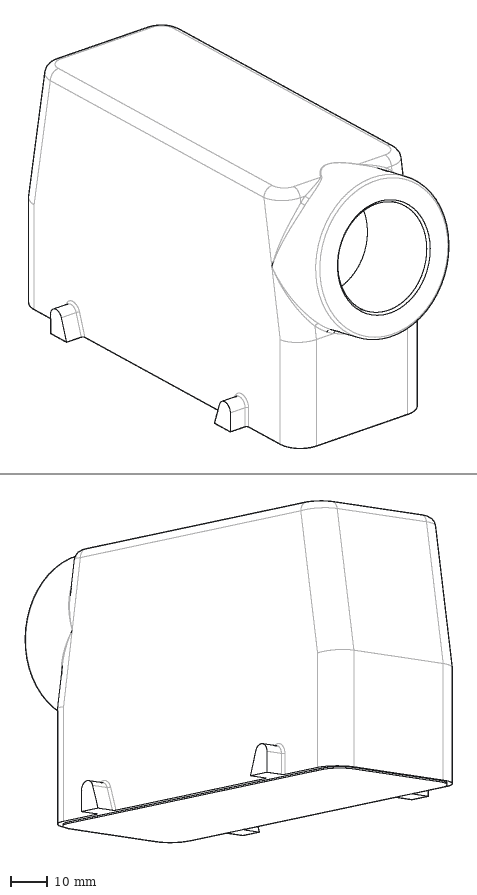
import cadquery as cq
import math

body_length = 122.8
body_width = 46.2
body_height = 76.0
shoulder_height = 33.0
lean_angle = 10.0
corner_radius = 7.1
top_radius = 2.9

rim_height = 0.4
rim_inset_x = 0.8
rim_inset_y = 1.6

entry_face_x = 71.0
entry_face_z = 56.9
entry_length = 23.2
entry_edge_radius = 0.8
entry_blend_radius = 1.0
bore_diameter = 31.0
bore_depth = 27.3
bore_chamfer = 0.7

peg_span = 58.0
peg_outer_x = 39.7
peg_height = 8.7
peg_radius = 2.5
peg_flank_angle = 19.0
peg_root_radius = 0.7


def make_body():
    lean = (body_height - shoulder_height) * math.tan(math.radians(lean_angle))
    half_length = body_length / 2
    half_top = half_length - lean
    body = (
        cq.Workplane("XZ")
        .moveTo(-half_length, rim_height)
        .lineTo(half_length, rim_height)
        .lineTo(half_length, shoulder_height)
        .lineTo(half_top, body_height)
        .lineTo(-half_top, body_height)
        .lineTo(-half_length, shoulder_height)
        .close()
        .extrude(body_width / 2, both=True)
    )
    corner_edges = body.edges().filter(lambda edge: edge.tangentAt(0.5).z ** 2 > 0.5)
    body = corner_edges.fillet(corner_radius)
    return body.faces(">Z").edges().fillet(top_radius)


def make_rim():
    return (
        cq.Workplane("XY")
        .rect(body_length - 2 * rim_inset_x, body_width - 2 * rim_inset_y)
        .extrude(rim_height)
        .edges("|Z")
        .fillet(corner_radius - rim_inset_x)
    )


def entry_plane():
    """Plane of the collar's open face, with its normal pointing out along the collar."""
    angle = math.radians(lean_angle)
    return cq.Plane(
        origin=(entry_face_x, 0, entry_face_z),
        xDir=(0, 1, 0),
        normal=(math.cos(angle), 0, math.sin(angle)),
    )


def make_collar():
    collar = cq.Workplane(entry_plane()).circle(body_width / 2).extrude(-entry_length)
    return collar.faces(">X").edges().fillet(entry_edge_radius)


def make_bore():
    bore = cq.Workplane(entry_plane()).circle(bore_diameter / 2).extrude(-bore_depth)
    mouth = (
        cq.Workplane(entry_plane())
        .circle(bore_diameter / 2 + bore_chamfer)
        .workplane(offset=-bore_chamfer)
        .circle(bore_diameter / 2)
        .loft()
    )
    return bore.union(mouth)


def make_peg_bar():
    """Bar through the body whose two ends are the pegs near the -X end."""
    angle = math.radians(peg_flank_angle)
    center_x = peg_radius - peg_outer_x
    center_z = peg_height - peg_radius
    tangent_x = center_x + peg_radius * math.cos(angle)
    tangent_z = center_z + peg_radius * math.sin(angle)
    foot_x = tangent_x + (tangent_z - rim_height) * math.tan(angle)
    return (
        cq.Workplane("XZ")
        .moveTo(-peg_outer_x, rim_height)
        .lineTo(-peg_outer_x, center_z)
        .threePointArc((center_x, peg_height), (tangent_x, tangent_z))
        .lineTo(foot_x, rim_height)
        .close()
        .extrude(peg_span / 2, both=True)
    )


def round_peg_roots(body):
    """Blend the pegs into the long side walls."""
    margin = 0.1
    for wall_y in (-body_width / 2, body_width / 2):
        lower = (-peg_outer_x - margin, wall_y - margin, rim_height + margin)
        upper = (peg_outer_x + margin, wall_y + margin, peg_height + margin)
        root_edges = body.edges(cq.selectors.BoxSelector(lower, upper))
        body = root_edges.fillet(peg_root_radius)
    return body


def blend_collar(hood):
    """Fill the curved seam between the collar and the body."""
    plane = entry_plane()
    tolerance = 0.01

    def is_seam(edge):
        middle = plane.toLocalCoords(edge.positionAt(0.5))
        on_collar = abs(math.hypot(middle.x, middle.y) - body_width / 2) < tolerance
        on_body = edge.BoundingBox().xmax < body_length / 2 + tolerance
        return on_collar and on_body and edge.geomType() != "LINE"

    return hood.edges().filter(is_seam).fillet(entry_blend_radius)


peg_bar = make_peg_bar()
body = make_body().union(peg_bar).union(peg_bar.mirror("YZ"))
body = round_peg_roots(body).union(make_rim())
hood = blend_collar(body.union(make_collar()))
result = hood.cut(make_bore())